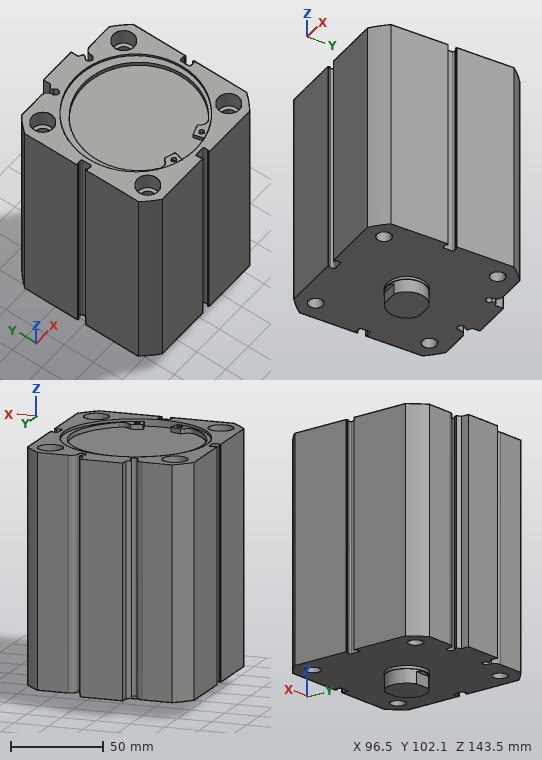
import cadquery as cq
import math

body_width = 96.5
half_width = body_width / 2
corner_radius = 62.0
rod_reach = 10.0
total_height = 143.5
body_height = total_height - rod_reach
corner_edge = math.sqrt(corner_radius**2 - half_width**2)
corner_middle = corner_radius * math.sqrt(0.5)

rail_height = 5.6
rail_top = half_width + rail_height
rail_half_width = 12.3
rail_shoulder = 49.0
barb_x = 15.0
barb_y = 47.4
groove_x = 15.0
groove_y = 43.5
groove_radius = 2.2
groove_mouth_radius = 4.3
groove_entry_angle = 110.0

slot_width = 6.9
slot_mouth = 5.0
slot_depth = 4.5
slot_lip = 1.0
slot_mouth_chamfer = 0.3
slot_floor_fillet = 0.7

bolt_offset = 36.0
bolt_diameter = 9.0
counterbore_diameter = 14.0
counterbore_depth = 10.8

bore_radius = 41.2
ring_depth = 1.5
ring_thickness = 2.6
ring_inner_radius = 37.9
ring_inner_shift = 2.2
gap_half_angle = 13.5
lug_angle = 19.0
lug_inner_radius = 34.0
lug_half_width = 3.6
lug_hole_radius = 37.7
lug_hole_diameter = 3.0
lug_flank_angle = 26.0
lug_root_x = 19.1
lug_root_y = -34.7
lug_root_fillet = 4.3
cap_thickness = 11.5
ring_bottom = total_height - ring_depth - ring_thickness
cap_bottom = ring_bottom - cap_thickness

rod_radius = 12.5
rod_end_radius = 12.2
rod_end_start = 1.7
flat_distance = 22.2
flat_start = 2.0
flat_cut = rod_end_radius - flat_distance / 2


def at_angle(radius, degrees):
    """Offset at the given radius and direction, counted from +X."""
    angle = math.radians(degrees)
    return radius * math.cos(angle), radius * math.sin(angle)


def groove_point(degrees):
    """Point on the round floor of the groove beside the rail."""
    dx, dy = at_angle(groove_radius, degrees)
    return groove_x + dx, groove_y + dy


def make_profile():
    """Housing cross-section: one half drawn from the rail to the bottom, then mirrored."""
    mouth_y = half_width - groove_mouth_radius
    mouth_x = groove_x + groove_radius + groove_mouth_radius
    mouth_dx, mouth_dy = at_angle(groove_mouth_radius, 135)
    return (
        cq.Workplane("XY", origin=(0, 0, rod_reach))
        .moveTo(0, rail_top)
        .lineTo(rail_half_width, rail_top)
        .lineTo(rail_half_width, rail_shoulder)
        .lineTo(barb_x, barb_y)
        .lineTo(*groove_point(groove_entry_angle))
        .threePointArc(groove_point((groove_entry_angle + 360) / 2), groove_point(360))
        .lineTo(groove_x + groove_radius, mouth_y)
        .threePointArc((mouth_x + mouth_dx, mouth_y + mouth_dy), (mouth_x, half_width))
        .lineTo(corner_edge, half_width)
        .threePointArc((corner_middle, corner_middle), (half_width, corner_edge))
        .lineTo(half_width, -corner_edge)
        .threePointArc((corner_middle, -corner_middle), (corner_edge, -half_width))
        .lineTo(0, -half_width)
        .mirrorY()
    )


def make_slot(angle):
    """T-shaped slot along the housing, cut into the side found by turning the -Y side."""
    floor_y = -half_width + slot_depth
    lip_y = -half_width + slot_lip
    slot = (
        cq.Workplane("XY", origin=(0, 0, rod_reach))
        .moveTo(0, -half_width)
        .lineTo(slot_mouth / 2 + slot_mouth_chamfer, -half_width)
        .lineTo(slot_mouth / 2, -half_width + slot_mouth_chamfer)
        .lineTo(slot_mouth / 2, lip_y)
        .lineTo(slot_width / 2, lip_y)
        .lineTo(slot_width / 2, floor_y)
        .lineTo(0, floor_y)
        .mirrorY()
        .extrude(body_height)
        .faces(">Y")
        .edges("|Z")
        .fillet(slot_floor_fillet)
    )
    return slot.rotate((0, 0, 0), (0, 0, 1), angle)


def make_housing():
    housing = make_profile().extrude(body_height)
    for angle in (-90, 0, 90):
        housing = housing.cut(make_slot(angle))
    housing = (
        housing.faces(">Z")
        .workplane(origin=(0, 0, total_height))
        .rect(2 * bolt_offset, 2 * bolt_offset, forConstruction=True)
        .vertices()
        .cboreHole(bolt_diameter, counterbore_diameter, counterbore_depth)
    )
    cap_bore = (
        cq.Workplane("XY", origin=(0, 0, cap_bottom))
        .circle(bore_radius)
        .extrude(total_height - cap_bottom)
    )
    rod_bore = cq.Workplane("XY").circle(rod_radius).extrude(cap_bottom)
    return housing.cut(cap_bore).cut(rod_bore)


def make_cap():
    """Plain disc that closes the bore, below the retaining ring."""
    return cq.Workplane("XY", origin=(0, 0, cap_bottom)).circle(bore_radius).extrude(cap_thickness)


def make_lug(side):
    """Plier lug of the retaining ring, on side -1 or +1 of the gap."""
    lug_length = bore_radius - lug_inner_radius
    flank_spread = lug_length * math.tan(math.radians(lug_flank_angle))
    lug = (
        cq.Workplane("XY", origin=(0, 0, ring_bottom))
        .moveTo(lug_inner_radius, -side * lug_half_width)
        .lineTo(lug_inner_radius, side * lug_half_width)
        .lineTo(bore_radius, side * (lug_half_width + flank_spread))
        .lineTo(bore_radius, -side * lug_half_width)
        .close()
        .extrude(ring_thickness)
    )
    return lug.rotate((0, 0, 0), (0, 0, 1), -90 + side * lug_angle)


def make_ring():
    """Retaining ring with an eccentric opening, a gap at -Y and a lug at each end."""
    def disc(radius):
        return cq.Workplane("XY", origin=(0, 0, ring_bottom)).circle(radius).extrude(ring_thickness)

    opening = disc(ring_inner_radius).translate((0, -ring_inner_shift, 0))
    ring = disc(bore_radius).cut(opening)
    for side in (-1, 1):
        ring = ring.union(make_lug(side).intersect(disc(bore_radius)))
    for side in (-1, 1):
        lug_root = (side * lug_root_x, lug_root_y, ring_bottom)
        ring = ring.edges("|Z").edges(cq.NearestToPointSelector(lug_root)).fillet(lug_root_fillet)

    gap_length = 2 * bore_radius
    gap = (
        cq.Workplane("XY", origin=(0, 0, ring_bottom))
        .polyline([
            (0, 0),
            at_angle(gap_length, -90 - gap_half_angle),
            at_angle(gap_length, -90 + gap_half_angle),
        ])
        .close()
        .extrude(ring_thickness)
    )
    holes = (
        cq.Workplane("XY", origin=(0, 0, ring_bottom))
        .pushPoints([at_angle(lug_hole_radius, -90 + side * lug_angle) for side in (-1, 1)])
        .circle(lug_hole_diameter / 2)
        .extrude(ring_thickness)
    )
    return ring.cut(gap).cut(holes)


def make_rod():
    """Rod with a slimmer end and two wrench flats whose upper ends run out at 45 degrees."""
    end_length = rod_reach - rod_end_start
    rod = (
        cq.Workplane("XY")
        .circle(rod_end_radius)
        .extrude(end_length)
        .faces(">Z")
        .workplane()
        .circle(rod_radius)
        .extrude(cap_bottom - end_length)
    )
    run_out_top = rod_reach - flat_start
    flat = (
        cq.Workplane("YZ")
        .moveTo(rod_end_radius, 0)
        .lineTo(rod_end_radius, run_out_top)
        .lineTo(rod_end_radius - flat_cut, run_out_top - flat_cut)
        .lineTo(rod_end_radius - flat_cut, 0)
        .close()
        .extrude(rod_end_radius, both=True)
    )
    return rod.cut(flat).cut(flat.mirror("XZ"))


housing = make_housing()
cap = make_cap()
ring = make_ring()
rod = make_rod()

result = cq.Compound.makeCompound([housing.val(), cap.val(), ring.val(), rod.val()])